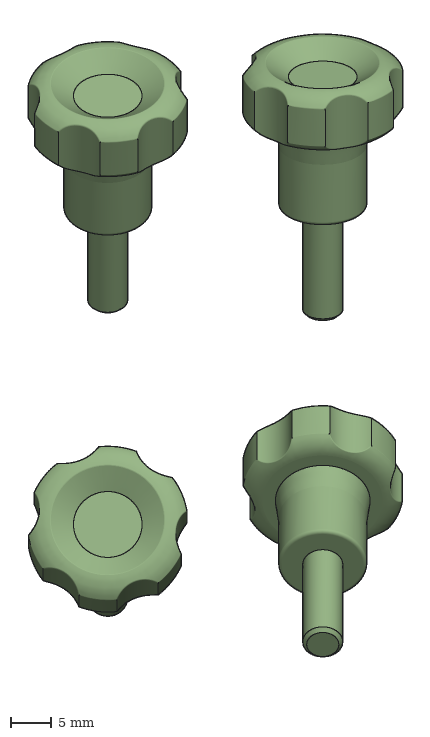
import cadquery as cq
import math

STUD_LENGTH = 15.0
COLLAR_LENGTH = 8.5
NECK_LENGTH = 3.5
HEAD_HEIGHT = 8.0
COLLAR_TOP = STUD_LENGTH + COLLAR_LENGTH
HEAD_BOTTOM = COLLAR_TOP + NECK_LENGTH
HEAD_TOP = HEAD_BOTTOM + HEAD_HEIGHT

STUD_RADIUS = 5.0 / 2
STUD_CHAMFER = 0.5
COLLAR_RADIUS = 11.0 / 2
COLLAR_FILLET = 0.45
NECK_TOP_RADIUS = 5.9

HEAD_RADIUS = 10.0
UPPER_LEVEL_RADIUS = 6.9
UPPER_DROP = 1.4
UPPER_EDGE_FILLET = 0.2
LOWER_LEVEL_RADIUS = 7.5
LOWER_DROP = 1.35
LOWER_EDGE_FILLET = 0.15

FLUTE_COUNT = 6
FLUTE_RADIUS = 4.35
FLUTE_FLOOR_RADIUS = 8.6

DISH_RADIUS = 7.1
DISH_FLOOR_RADIUS = 4.27
DISH_DEPTH = 1.95
DISH_EDGE_FILLET = 0.2


def crown_fall(radius, level_radius, drop):
    """Fall of a crown arc at a radius; the arc falls by drop at the head radius."""
    full_run = HEAD_RADIUS - level_radius
    arc_radius = (full_run**2 + drop**2) / (2 * drop)
    return arc_radius - math.sqrt(arc_radius**2 - (radius - level_radius) ** 2)


def revolve_about_z(profile):
    """Close a half profile drawn in the XZ plane and turn it about the Z axis."""
    return profile.close().revolve(360, (0, 0, 0), (0, 1, 0))


def make_stem():
    """Chamfered stud, rounded collar and conical neck."""
    stud = cq.Workplane("XY").circle(STUD_RADIUS).extrude(STUD_LENGTH)
    stud = stud.faces("<Z").chamfer(STUD_CHAMFER)
    collar = cq.Workplane("XY", origin=(0, 0, STUD_LENGTH)).circle(COLLAR_RADIUS).extrude(COLLAR_LENGTH)
    collar = collar.faces("<Z").edges().fillet(COLLAR_FILLET)
    neck = revolve_about_z(
        cq.Workplane("XZ")
        .moveTo(0, COLLAR_TOP)
        .lineTo(COLLAR_RADIUS, COLLAR_TOP)
        .lineTo(NECK_TOP_RADIUS, HEAD_BOTTOM)
        .lineTo(0, HEAD_BOTTOM)
    )
    return stud.union(collar).union(neck)


def make_head_blank():
    """Round head with an arched crown above and below its cylindrical rim."""
    lower_middle = (LOWER_LEVEL_RADIUS + HEAD_RADIUS) / 2
    lower_middle_z = HEAD_BOTTOM + crown_fall(lower_middle, LOWER_LEVEL_RADIUS, LOWER_DROP)
    upper_middle = (UPPER_LEVEL_RADIUS + HEAD_RADIUS) / 2
    upper_middle_z = HEAD_TOP - crown_fall(upper_middle, UPPER_LEVEL_RADIUS, UPPER_DROP)
    return revolve_about_z(
        cq.Workplane("XZ")
        .moveTo(0, HEAD_BOTTOM)
        .lineTo(LOWER_LEVEL_RADIUS, HEAD_BOTTOM)
        .threePointArc((lower_middle, lower_middle_z), (HEAD_RADIUS, HEAD_BOTTOM + LOWER_DROP))
        .lineTo(HEAD_RADIUS, HEAD_TOP - UPPER_DROP)
        .threePointArc((upper_middle, upper_middle_z), (UPPER_LEVEL_RADIUS, HEAD_TOP))
        .lineTo(0, HEAD_TOP)
    )


def make_flutes():
    """Cutters for the finger flutes."""
    return (
        cq.Workplane("XY", origin=(0, 0, HEAD_BOTTOM))
        .polarArray(FLUTE_FLOOR_RADIUS + FLUTE_RADIUS, 0, 360, FLUTE_COUNT)
        .circle(FLUTE_RADIUS)
        .extrude(HEAD_HEIGHT)
    )


def rim_edges(crown, level_radius):
    """Outer edges of a crown face, leaving out its level circle and its seam."""
    smallest_rim_radius = (level_radius + FLUTE_FLOOR_RADIUS) / 2
    edges = []
    for edge in crown.edges().vals():
        points = [edge.startPoint(), edge.positionAt(0.5), edge.endPoint()]
        nearest = min(math.hypot(point.x, point.y) for point in points)
        if nearest > smallest_rim_radius:
            edges.append(edge)
    return edges


def round_crown_edges(head):
    """Round the edges where the crowns meet the lobes and the flutes."""
    upper_crown = head.faces("%TORUS").faces(">Z")
    head = head.newObject(rim_edges(upper_crown, UPPER_LEVEL_RADIUS)).fillet(UPPER_EDGE_FILLET)
    lower_crown = head.faces("%TORUS").faces("<Z")
    return head.newObject(rim_edges(lower_crown, LOWER_LEVEL_RADIUS)).fillet(LOWER_EDGE_FILLET)


def make_dish():
    """Cutter for the dish: flat floor and conical wall."""
    floor_z = HEAD_TOP - DISH_DEPTH
    rim_z = HEAD_TOP - crown_fall(DISH_RADIUS, UPPER_LEVEL_RADIUS, UPPER_DROP)
    return revolve_about_z(
        cq.Workplane("XZ")
        .moveTo(0, floor_z)
        .lineTo(DISH_FLOOR_RADIUS, floor_z)
        .lineTo(DISH_RADIUS, rim_z)
        .lineTo(DISH_RADIUS, HEAD_TOP)
        .lineTo(0, HEAD_TOP)
    )


def round_dish_edge(head):
    """Round the circle where the dish wall meets the upper crown."""
    dish_rim = head.faces("%CONE").edges("%CIRCLE").edges(">Z")
    return dish_rim.fillet(DISH_EDGE_FILLET)


head = round_crown_edges(make_head_blank().cut(make_flutes()))
head = round_dish_edge(head.cut(make_dish()))
result = head.union(make_stem())